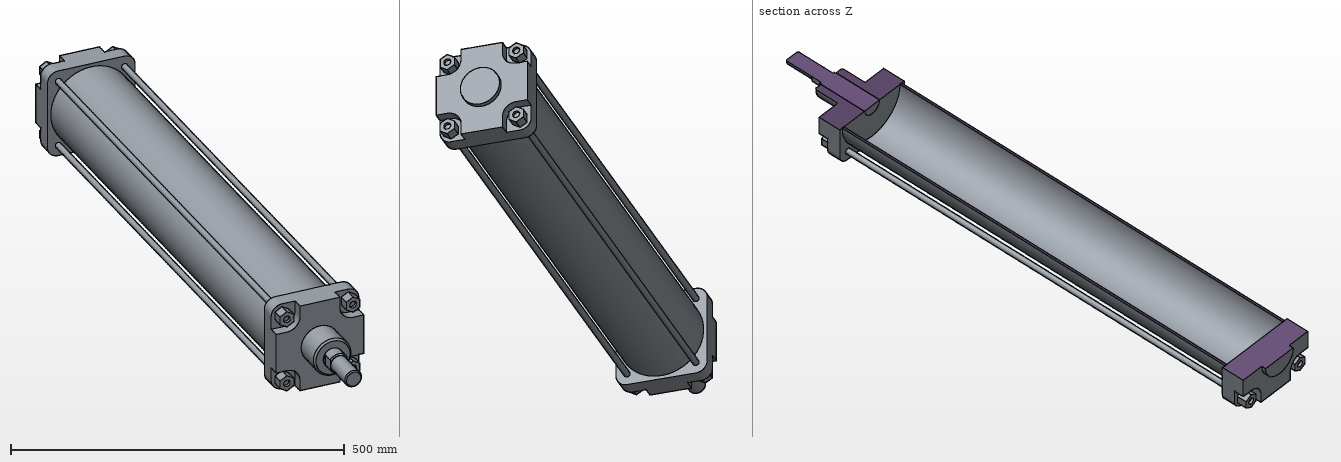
import cadquery as cq
import math

TOTAL_LENGTH = 985.0
REAR_BOSS_LENGTH = 8.0
CAP_LENGTH = 42.0
TUBE_LENGTH = 772.0
FRONT_BOSS_END = 911.0

CAP_SIDE = 145.0
CAP_CORNER_RADIUS = 18.0
BOSS_DIAMETER = 62.0
BOSS_CHAMFER = 3.0

POCKET_DEPTH = 18.0
POCKET_RADIUS = 22.0

TUBE_DIAMETER = 134.0
TUBE_WALL = 5.0

TIE_ROD_DIAMETER = 10.0
NUT_ACROSS_FLATS = 23.0
NUT_RECESS_DIAMETER = 11.0
NUT_RECESS_DEPTH = 5.0
TIE_ROD_OFFSET = CAP_SIDE / 2 - CAP_CORNER_RADIUS

ROD_DIAMETER = 32.5
FLATS_WIDTH = 28.0
COLLAR_LENGTH = 3.0
FLATS_CHAMFER = 2.0
FLATS_END = 933.0
THREAD_DIAMETER = 28.0
THREAD_CHAMFER = 2.0

REAR_CAP_START = REAR_BOSS_LENGTH
TUBE_START = REAR_CAP_START + CAP_LENGTH
TUBE_END = TUBE_START + TUBE_LENGTH
FRONT_CAP_END = TUBE_END + CAP_LENGTH

CORNERS = [(y, z) for y in (-1, 1) for z in (-1, 1)]


def cylinder(diameter, x_start, x_end, y=0, z=0):
    """Solid cylinder along X between two stations."""
    return cq.Workplane("YZ", origin=(x_start, y, z)).circle(diameter / 2).extrude(x_end - x_start)


def corner_pocket(y_sign, z_sign, x_start):
    """Pocket around one tie rod, open to the two nearby cap sides."""
    reach = CAP_CORNER_RADIUS + POCKET_RADIUS
    middle = CAP_SIDE / 2 - reach / 2
    block = (
        cq.Workplane("YZ", origin=(x_start, y_sign * middle, z_sign * middle))
        .rect(reach, reach)
        .extrude(POCKET_DEPTH)
    )
    inner_edge = cq.selectors.NearestToPointSelector(
        (x_start + POCKET_DEPTH / 2, y_sign * (middle - reach / 2), z_sign * (middle - reach / 2))
    )
    return block.edges("|X").edges(inner_edge).fillet(POCKET_RADIUS)


def make_cap(x_start, pocket_start):
    """Rounded square plate with four nut pockets and four tie-rod holes."""
    cap = (
        cq.Workplane("YZ", origin=(x_start, 0, 0))
        .rect(CAP_SIDE, CAP_SIDE)
        .extrude(CAP_LENGTH)
        .edges("|X")
        .fillet(CAP_CORNER_RADIUS)
    )
    for y_sign, z_sign in CORNERS:
        cap = cap.cut(corner_pocket(y_sign, z_sign, pocket_start))
        y = y_sign * TIE_ROD_OFFSET
        z = z_sign * TIE_ROD_OFFSET
        cap = cap.cut(cylinder(TIE_ROD_DIAMETER, x_start, x_start + CAP_LENGTH, y, z))
    return cap


def make_rear_cap():
    """Closed cap with a short round boss on its outer face."""
    boss = cylinder(BOSS_DIAMETER, 0, TUBE_START)
    return make_cap(REAR_CAP_START, REAR_CAP_START).union(boss)


def make_front_cap():
    """Cap with a long chamfered boss, bored for the piston rod."""
    boss = cylinder(BOSS_DIAMETER, TUBE_END, FRONT_BOSS_END).faces(">X").chamfer(BOSS_CHAMFER)
    cap = make_cap(TUBE_END, FRONT_CAP_END - POCKET_DEPTH).union(boss)
    return cap.cut(cylinder(ROD_DIAMETER, TUBE_END, FRONT_BOSS_END))


def make_tube():
    """Plain barrel between the caps."""
    bore = cylinder(TUBE_DIAMETER - 2 * TUBE_WALL, TUBE_START, TUBE_END)
    return cylinder(TUBE_DIAMETER, TUBE_START, TUBE_END).cut(bore)


def hex_nut(x_start, y, z):
    """Hexagonal nut with corners pointing up and down, as long as the pocket is deep."""
    across_corners = NUT_ACROSS_FLATS / math.cos(math.pi / 6)
    return (
        cq.Workplane("YZ", origin=(x_start, y, z))
        .transformed(rotate=(0, 0, 90))
        .polygon(6, across_corners)
        .extrude(POCKET_DEPTH)
    )


def make_tie_rod(y_sign, z_sign):
    """Rod through both caps with a recessed hexagonal nut in each pocket."""
    y = y_sign * TIE_ROD_OFFSET
    z = z_sign * TIE_ROD_OFFSET
    front_floor = FRONT_CAP_END - POCKET_DEPTH
    rod = cylinder(TIE_ROD_DIAMETER, REAR_CAP_START, FRONT_CAP_END, y, z)
    rod = rod.union(hex_nut(REAR_CAP_START, y, z)).union(hex_nut(front_floor, y, z))
    rear_recess = cylinder(NUT_RECESS_DIAMETER, REAR_CAP_START, REAR_CAP_START + NUT_RECESS_DEPTH, y, z)
    front_recess = cylinder(NUT_RECESS_DIAMETER, FRONT_CAP_END - NUT_RECESS_DEPTH, FRONT_CAP_END, y, z)
    return rod.cut(rear_recess).cut(front_recess)


def make_piston_rod():
    """Rod with two wrench flats facing +Y and -Y, then a thinner threaded end."""
    rod = cylinder(ROD_DIAMETER, TUBE_END, FLATS_END).faces(">X").chamfer(FLATS_CHAMFER)
    flats_start = FRONT_BOSS_END + COLLAR_LENGTH
    flat_depth = (ROD_DIAMETER - FLATS_WIDTH) / 2
    for side in (-1, 1):
        flat_cut = cq.Workplane("XY").box(FLATS_END - flats_start, flat_depth, ROD_DIAMETER)
        flat_center = ((flats_start + FLATS_END) / 2, side * (FLATS_WIDTH + flat_depth) / 2, 0)
        rod = rod.cut(flat_cut.translate(flat_center))
    thread = cylinder(THREAD_DIAMETER, FLATS_END, TOTAL_LENGTH)
    thread = thread.faces(">X").chamfer(THREAD_CHAMFER)
    return rod.union(thread)


rear_cap = make_rear_cap()
front_cap = make_front_cap()
tube = make_tube()
piston_rod = make_piston_rod()
tie_rods = [make_tie_rod(y_sign, z_sign) for y_sign, z_sign in CORNERS]

result = cq.Compound.makeCompound(
    [
        rear_cap.val(),
        front_cap.val(),
        tube.val(),
        piston_rod.val(),
        *[tie_rod.val() for tie_rod in tie_rods],
    ]
)